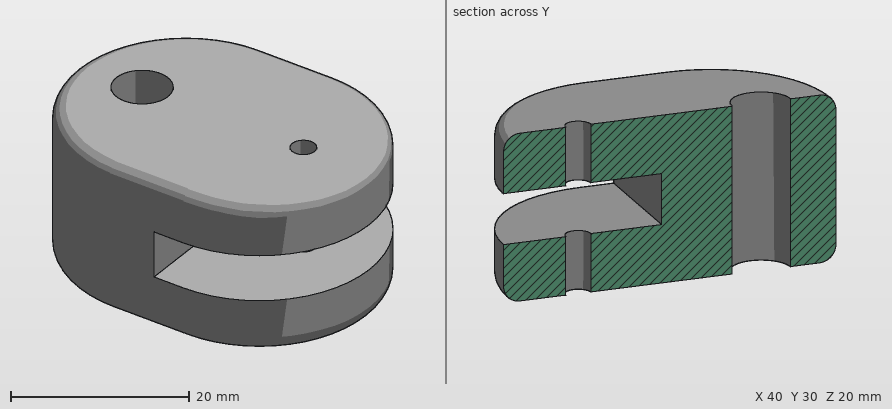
import cadquery as cq

length = 40.0
width = 30.0
height = 20.0
edge_radius = 2.0

slot_height = 6.0
slot_end_x = 1.0

hole_offset = 11.0
large_hole_diameter = 7.0
small_hole_diameter = 3.0


def rounded_body():
    """Obround block with its top and bottom rims rounded, centred on the origin."""
    obround = cq.Workplane("XY").workplane(offset=-height / 2).slot2D(length, width)
    return obround.extrude(height).faces("|Z").edges().fillet(edge_radius)


def side_slot():
    """Slot at mid height, through the full width and open at the +X end."""
    slot_depth = length / 2 - slot_end_x
    return (
        cq.Workplane("XY")
        .box(slot_depth, width, slot_height, centered=(False, True, True))
        .translate((slot_end_x, 0, 0))
    )


def vertical_hole(x, diameter):
    """Cylinder through the full height at the given X position."""
    return (
        cq.Workplane("XY")
        .workplane(offset=-height / 2)
        .center(x, 0)
        .circle(diameter / 2)
        .extrude(height)
    )


result = (
    rounded_body()
    .cut(side_slot())
    .cut(vertical_hole(-hole_offset, large_hole_diameter))
    .cut(vertical_hole(hole_offset, small_hole_diameter))
)